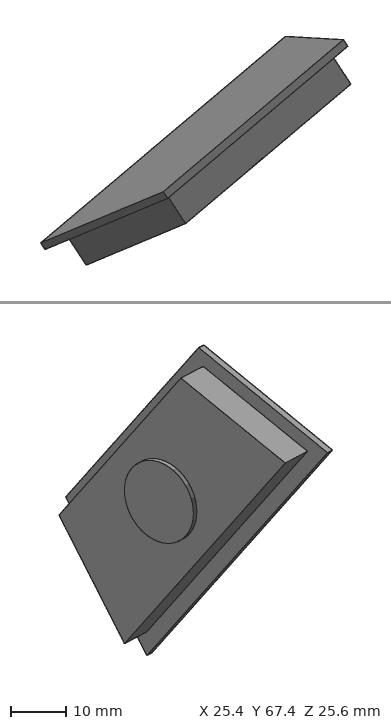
import cadquery as cq
import math

tilt = 45.5
plate_length = 31.05
plate_low_width = 67.4
plate_high_width = 49.6
plate_thickness = 1.5

end_margin = 2.95
block_length = plate_length - 2 * end_margin
block_low_width = 59.95
block_high_width = 45.5
block_depth = 6.5

boss_diameter = 16.0
boss_height = 1.0

slope = math.radians(tilt)
up_slope = (math.cos(slope), 0, math.sin(slope))
underside_normal = (math.sin(slope), 0, -math.cos(slope))
sloped_plane = cq.Plane(origin=(0, 0, 0), xDir=up_slope, normal=underside_normal)


def trapezoid_slab(length, low_width, high_width, start, thickness):
    """Slab symmetric about Y = 0, starting at a depth below the plate's outer face."""
    outline = [
        (-length / 2, -low_width / 2),
        (length / 2, -high_width / 2),
        (length / 2, high_width / 2),
        (-length / 2, low_width / 2),
    ]
    return cq.Workplane(sloped_plane).workplane(offset=start).polyline(outline).close().extrude(thickness)


plate = trapezoid_slab(plate_length, plate_low_width, plate_high_width, 0, plate_thickness)
block = trapezoid_slab(block_length, block_low_width, block_high_width, plate_thickness, block_depth)
boss = (
    cq.Workplane(sloped_plane)
    .workplane(offset=plate_thickness + block_depth)
    .circle(boss_diameter / 2)
    .extrude(boss_height)
)

result = plate.union(block).union(boss)